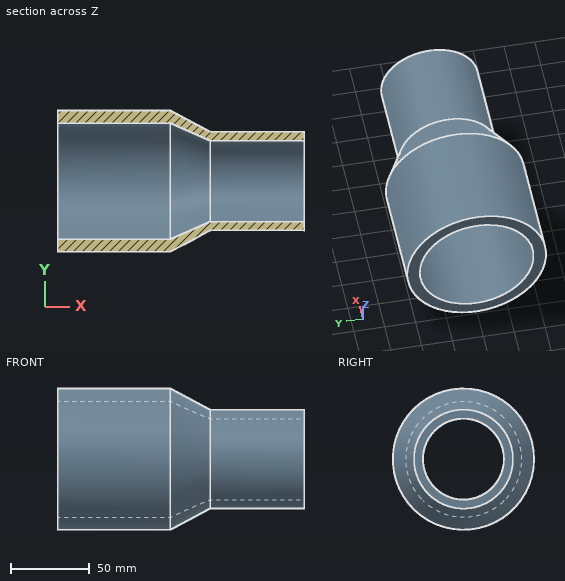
import cadquery as cq

total_length = 157.0
wide_length = 71.7
narrow_length = 60.0
wide_outer_radius = 90.0 / 2
narrow_outer_radius = 63.0 / 2
wide_bore_radius = 73.6 / 2
narrow_bore_radius = 51.3 / 2

cone_start = wide_length
cone_end = total_length - narrow_length


def stepped_solid(wide_radius, narrow_radius):
    """Wide cylinder, cone and narrow cylinder revolved about the X axis."""
    return (
        cq.Workplane("XY")
        .moveTo(0, 0)
        .lineTo(0, wide_radius)
        .lineTo(cone_start, wide_radius)
        .lineTo(cone_end, narrow_radius)
        .lineTo(total_length, narrow_radius)
        .lineTo(total_length, 0)
        .close()
        .revolve(360, (0, 0, 0), (1, 0, 0))
    )


body = stepped_solid(wide_outer_radius, narrow_outer_radius)
bore = stepped_solid(wide_bore_radius, narrow_bore_radius)

result = body.cut(bore)